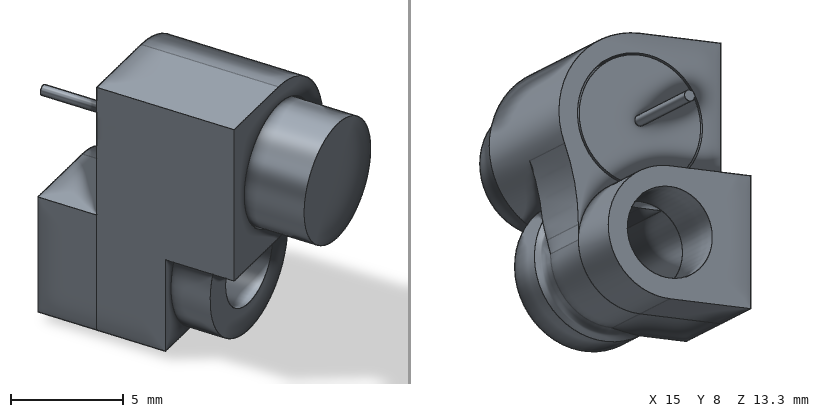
import cadquery as cq
import math


barrel_radius = 4.0
barrel_length = 7.0
flat_side_y = -barrel_radius
bore_radius = 3.09

eye_axis_z = -5.8
eye_radius = 3.05
eye_hole_radius = 2.1
web_length = barrel_length / 2
neck_radius = 10.0

flange_radius = 3.5
flange_length = 2.0
flare_length = 0.7

lug_length = 3.0

plug_radius = 3.0
plug_overhang = 3.0
pin_radius = 0.25
pin_length = 15 - barrel_length - plug_overhang


def cylinder(radius, start_x, length, axis_z=0):
    """Cylinder along +X, centred on Y = 0."""
    return cq.Workplane("YZ", origin=(start_x, 0, axis_z)).circle(radius).extrude(length)


def d_block(radius, start_x, length, axis_z=0):
    """Block along +X with a half-round +Y side and a square -Y side."""
    return (
        cq.Workplane("YZ", origin=(start_x, 0, axis_z))
        .moveTo(flat_side_y, -radius)
        .lineTo(0, -radius)
        .threePointArc((radius, 0), (0, radius))
        .lineTo(flat_side_y, radius)
        .close()
        .extrude(length)
    )


def make_web():
    """Plate joining barrel and eye, with a hollow neck tangent to both."""
    neck_y = eye_radius + neck_radius
    neck_z = -math.sqrt((barrel_radius + neck_radius) ** 2 - neck_y**2)
    neck_angle = math.atan2(-neck_z, neck_y)
    neck_top = (barrel_radius * math.cos(neck_angle), -barrel_radius * math.sin(neck_angle))
    neck_middle = (
        neck_y - neck_radius * math.cos(neck_angle / 2),
        neck_z + neck_radius * math.sin(neck_angle / 2),
    )
    eye_bottom_z = eye_axis_z - eye_radius
    diagonal = eye_radius * math.sqrt(0.5)
    return (
        cq.Workplane("YZ")
        .moveTo(flat_side_y, 0)
        .lineTo(0, 0)
        .lineTo(*neck_top)
        .threePointArc(neck_middle, (eye_radius, neck_z))
        .lineTo(eye_radius, eye_axis_z)
        .threePointArc((diagonal, eye_axis_z - diagonal), (0, eye_bottom_z))
        .lineTo(flat_side_y, eye_bottom_z)
        .close()
        .extrude(web_length)
    )


def make_flange():
    """Round flange behind the web, with a hollow flare in front of it."""
    rise = flange_radius - eye_radius
    flare_radius = (flare_length**2 + rise**2) / (2 * rise)
    flare_start_x = web_length - flare_length
    half_angle = math.asin(flare_length / flare_radius) / 2
    flare_middle = (
        flare_start_x + flare_radius * math.sin(half_angle),
        eye_radius + flare_radius * (1 - math.cos(half_angle)),
    )
    flange_end_x = web_length + flange_length
    return (
        cq.Workplane("XZ", origin=(0, 0, eye_axis_z))
        .moveTo(flare_start_x, 0)
        .lineTo(flare_start_x, eye_radius)
        .threePointArc(flare_middle, (web_length, flange_radius))
        .lineTo(flange_end_x, flange_radius)
        .lineTo(flange_end_x, 0)
        .close()
        .revolve(360, (0, 0), (1, 0))
    )


def make_housing():
    """The eye hole stops where the barrel block crosses it."""
    eye_hole = cylinder(eye_hole_radius, 0, web_length + flange_length, eye_axis_z)
    eye = make_web().union(make_flange()).cut(eye_hole)
    barrel = d_block(barrel_radius, 0, barrel_length)
    bore = cylinder(bore_radius, 0, barrel_length)
    return eye.union(barrel).cut(bore)


def make_lug():
    block = d_block(eye_radius, -lug_length, lug_length, eye_axis_z)
    return block.cut(cylinder(eye_hole_radius, -lug_length, lug_length, eye_axis_z))


def make_plug():
    body = cylinder(plug_radius, 0, barrel_length + plug_overhang)
    pin = cylinder(pin_radius, -pin_length, pin_length)
    return body.union(pin)


housing = make_housing()
lug = make_lug()
plug = make_plug()

result = cq.Compound.makeCompound([housing.val(), lug.val(), plug.val()])